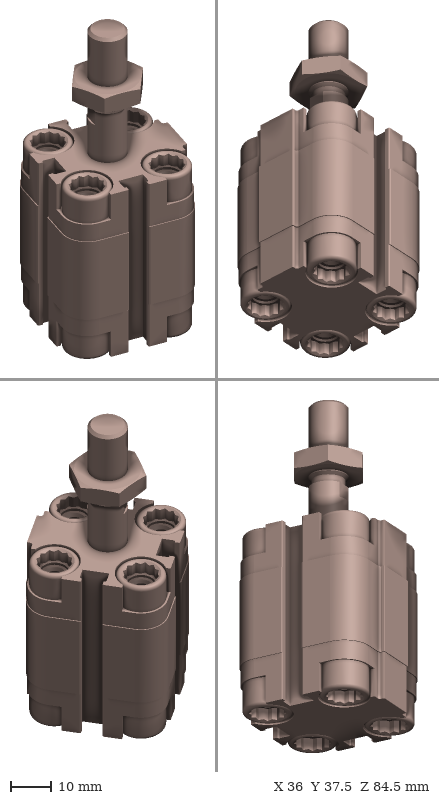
import cadquery as cq
import math

housing_height = 48.0
cap_height = 12.5
barrel_half_width = 18.0
cap_step = 0.25
corner_centre = 11.0

lug_half_width = 5.72
lug_height = 1.5
lug_bevel_width = 0.1
lug_bevel_height = 0.25
lug_root_width = 0.5
lug_root_height = 0.4

slot_opening_half_width = 2.75
slot_cavity_half_width = 3.4
slot_lip_depth = 16.4
slot_floor_depth = 13.0
slot_bevel_width = 0.35
slot_bevel_depth = 0.16
slot_inner_chamfer = 0.3

boss_diameter = 12.5
boss_height = 7.5
boss_edge_radius = 1.0
boss_recess_diameter = 13.0
corner_cut_start = 7.7

socket_across_flats = 8.0
socket_points = 12
socket_depth = 3.5
socket_mouth_diameter = 10.0
socket_mouth_angle = 30.0
counterbore_diameter = 7.2
counterbore_depth = 0.7
screw_hole_diameter = 4.13
countersink_diameter = 5.6

rod_diameter = 10.0
rod_top = 84.5
rod_bottom = housing_height - cap_height
thread_length = 22.0
thread_core_diameter = 8.47
neck_length = 2.0
flat_spacing = 9.0
flat_length = 4.0

nut_across_flats = 17.0
nut_height = 5.0
nut_bottom = 65.5
nut_face_diameter = 16.6
nut_chamfer_angle = 15.0


def side_profile(height, inset):
    """Rounded square with the lug on its +Y side, all sides moved in by the inset."""
    half = barrel_half_width - inset
    lug = lug_half_width - inset
    lug_top = half + lug_height
    lug_root = lug + lug_root_width
    square = (
        cq.Workplane("XY")
        .rect(2 * half, 2 * half)
        .extrude(height)
        .edges("|Z")
        .fillet(half - corner_centre)
    )
    lug_bar = (
        cq.Workplane("XY")
        .moveTo(-lug_root, 0)
        .lineTo(-lug_root, half)
        .lineTo(-lug, half + lug_root_height)
        .lineTo(-lug, lug_top - lug_bevel_height)
        .lineTo(-lug + lug_bevel_width, lug_top)
        .lineTo(lug - lug_bevel_width, lug_top)
        .lineTo(lug, lug_top - lug_bevel_height)
        .lineTo(lug, half + lug_root_height)
        .lineTo(lug_root, half)
        .lineTo(lug_root, 0)
        .close()
        .extrude(height)
    )
    return square.union(lug_bar)


def t_slot(angle, height, inset):
    """Cutter for one T-slot; angle zero gives the slot in the -Y side."""
    face = barrel_half_width - inset
    bevel_end = face - slot_bevel_depth
    beyond = face + 1.0
    bevel_half_width = slot_opening_half_width + slot_bevel_width
    half_outline = [
        (slot_cavity_half_width, -slot_floor_depth),
        (slot_cavity_half_width, -slot_lip_depth + slot_inner_chamfer),
        (slot_cavity_half_width - slot_inner_chamfer, -slot_lip_depth),
        (slot_opening_half_width, -slot_lip_depth),
        (slot_opening_half_width, -bevel_end),
        (bevel_half_width, -face),
        (bevel_half_width, -beyond),
    ]
    mirrored = [(-x, y) for x, y in reversed(half_outline)]
    cutter = cq.Workplane("XY").polyline(half_outline + mirrored).close().extrude(height)
    return cutter.rotate((0, 0, 0), (0, 0, 1), angle)


def slotted_block(height, inset):
    block = side_profile(height, inset)
    for angle in (0, 90, -90):
        block = block.cut(t_slot(angle, height, inset))
    return block


def boss_space():
    """Room cut out of a cap corner around one boss, centred on the boss axis."""
    box_size = 2 * corner_centre
    box_start = corner_cut_start - corner_centre
    corner_box = (
        cq.Workplane("XY")
        .box(box_size, box_size, boss_height, centered=False)
        .translate((box_start, box_start, 0))
    )
    ring = cq.Workplane("XY").circle(boss_recess_diameter / 2).extrude(boss_height)
    return corner_box.union(ring)


def socket():
    """Cutter for a twelve-point socket that opens at the top of a boss."""
    mouth_radius = socket_mouth_diameter / 2
    mouth_depth = mouth_radius * math.tan(math.radians(socket_mouth_angle))
    mouth = (
        cq.Workplane("XZ")
        .polyline([(0, boss_height), (mouth_radius, boss_height), (0, boss_height - mouth_depth)])
        .close()
        .revolve(360, (0, 0, 0), (0, 1, 0))
    )
    hexagon = (
        cq.Workplane("XY")
        .workplane(offset=boss_height - socket_depth)
        .polygon(6, socket_across_flats, circumscribed=True)
        .extrude(socket_depth)
    )
    star = hexagon.union(hexagon.rotate((0, 0, 0), (0, 0, 1), 360 / socket_points))
    limit = (
        cq.Workplane("XY")
        .workplane(offset=boss_height - socket_depth)
        .circle(mouth_radius)
        .extrude(socket_depth)
    )
    counterbore_floor = boss_height - socket_depth - counterbore_depth
    countersink_drop = (countersink_diameter - screw_hole_diameter) / 2
    bore = (
        cq.Workplane("XZ")
        .moveTo(0, boss_height - socket_depth)
        .lineTo(counterbore_diameter / 2, boss_height - socket_depth)
        .lineTo(counterbore_diameter / 2, counterbore_floor)
        .lineTo(countersink_diameter / 2, counterbore_floor)
        .lineTo(screw_hole_diameter / 2, counterbore_floor - countersink_drop)
        .lineTo(0, counterbore_floor - countersink_drop)
        .close()
        .revolve(360, (0, 0, 0), (0, 1, 0))
    )
    return mouth.union(star.intersect(limit)).union(bore)


def boss():
    return (
        cq.Workplane("XY")
        .circle(boss_diameter / 2)
        .extrude(boss_height)
        .faces(">Z")
        .edges()
        .fillet(boss_edge_radius)
    )


def at_corners(shape, base):
    """Copies of a shape at the four boss axes, turned to face their corners."""
    placed = shape.translate((corner_centre, corner_centre, base))
    return [placed.rotate((0, 0, 0), (0, 0, 1), 90 * turn) for turn in range(4)]


def end_cap():
    """Cap with its mating face at Z = 0 and its bosses at the top."""
    boss_base = cap_height - boss_height
    cap = slotted_block(cap_height, cap_step)
    for space in at_corners(boss_space(), boss_base):
        cap = cap.cut(space)
    for post in at_corners(boss(), boss_base):
        cap = cap.union(post)
    for opening in at_corners(socket(), boss_base):
        cap = cap.cut(opening)
    return cap


def make_housing():
    barrel_height = housing_height - 2 * cap_height
    barrel = slotted_block(barrel_height, 0).translate((0, 0, cap_height))
    cap = end_cap()
    top_cap = cap.translate((0, 0, housing_height - cap_height))
    bottom_cap = cap.mirror("XY").translate((0, 0, cap_height))
    body = barrel.union(top_cap).union(bottom_cap).clean()
    screw_hole = cq.Workplane("XY").circle(screw_hole_diameter / 2).extrude(housing_height)
    for hole in at_corners(screw_hole, 0):
        body = body.cut(hole)
    rod_hole = (
        cq.Workplane("XY")
        .workplane(offset=rod_bottom)
        .circle(rod_diameter / 2)
        .extrude(housing_height - rod_bottom)
    )
    return body.cut(rod_hole)


def make_rod():
    radius = rod_diameter / 2
    core_radius = thread_core_diameter / 2
    chamfer = radius - core_radius
    shoulder = rod_top - thread_length
    neck_top = shoulder + neck_length
    turned = (
        cq.Workplane("XZ")
        .moveTo(0, rod_bottom)
        .lineTo(radius, rod_bottom)
        .lineTo(radius, shoulder)
        .lineTo(core_radius, shoulder)
        .lineTo(core_radius, neck_top)
        .lineTo(radius, neck_top + chamfer)
        .lineTo(radius, rod_top - chamfer)
        .lineTo(core_radius, rod_top)
        .lineTo(0, rod_top)
        .close()
        .revolve(360, (0, 0, 0), (0, 1, 0))
    )
    for side in (-1, 1):
        flat_cut = (
            cq.Workplane("XY")
            .box(rod_diameter, rod_diameter, flat_length)
            .translate((0, side * (flat_spacing + rod_diameter) / 2, shoulder - flat_length / 2))
        )
        turned = turned.cut(flat_cut)
    return turned


def make_nut():
    """Hexagon nut with its corners on the Y axis, both faces chamfered."""
    corner_radius = nut_across_flats / 2 / math.cos(math.pi / 6)
    face_radius = nut_face_diameter / 2
    drop = (corner_radius - face_radius) * math.tan(math.radians(nut_chamfer_angle))
    hexagon = (
        cq.Workplane("XY")
        .polygon(6, nut_across_flats, circumscribed=True)
        .circle(rod_diameter / 2)
        .extrude(nut_height)
    )
    envelope = (
        cq.Workplane("XZ")
        .moveTo(0, 0)
        .lineTo(face_radius, 0)
        .lineTo(corner_radius, drop)
        .lineTo(corner_radius, nut_height - drop)
        .lineTo(face_radius, nut_height)
        .lineTo(0, nut_height)
        .close()
        .revolve(360, (0, 0, 0), (0, 1, 0))
    )
    return hexagon.intersect(envelope).translate((0, 0, nut_bottom))


housing = make_housing()
piston_rod = make_rod()
lock_nut = make_nut()

result = cq.Compound.makeCompound([housing.val(), piston_rod.val(), lock_nut.val()])